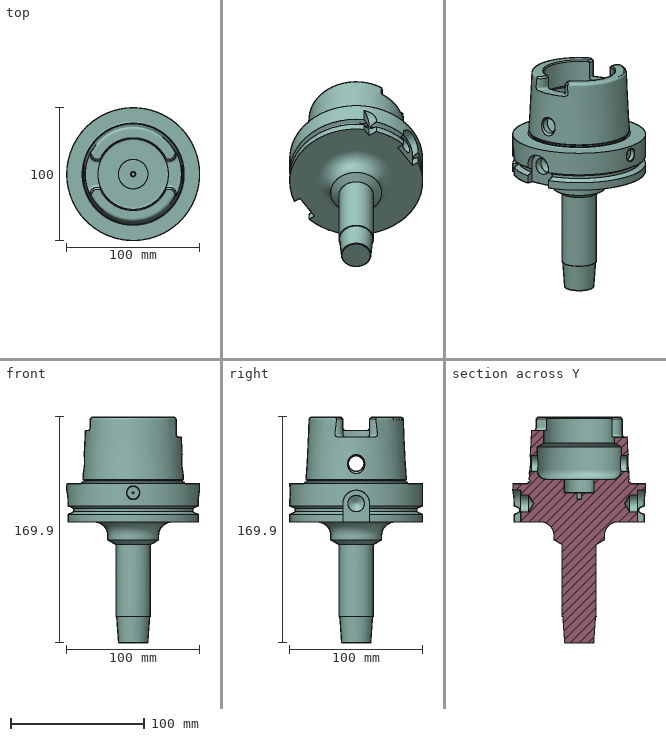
import cadquery as cq
import math


TAPER_TOP_Z = 49.9
TAPER_GAUGE_Z = 10.0
TAPER_GAUGE_RADIUS = 37.5
TAPER_SLOPE = 1 / 20
TAPER_BOTTOM_Z = 3.0
RIM_FILLET = 2.0

RELIEF_RADIUS = 37.1
RELIEF_BOTTOM_Z = 1.2
COLLAR_RADIUS = 38.4
COLLAR_FILLET = 1.0

BORE_RADIUS = 26.5
BORE_BOTTOM_Z = 30.3
BORE_CHAMFER = 0.9
CHAMBER_RADIUS = 31.5
CHAMBER_FLOOR_Z = 3.2
CHAMBER_FLOOR_FILLET = 6.8
CLAMP_FACE_ANGLE = 30.0
TUBE_SEAT_RADIUS = 11.1
TUBE_SEAT_DEPTH = 10.0
COOLANT_RADIUS = 1.5
COOLANT_CHAMFER = 0.5
COOLANT_DEPTH = 5.0

DRIVE_SLOT_WIDTH = 20.0
DRIVE_SLOT_ROUND = 5.0
DRIVE_SLOT_FACE_X = 32.4
DRIVE_SLOT_FLOOR_FILLET = 2.0
DRIVE_SLOT_CHAMFER = 1.4
DRIVE_SLOT_CHAMFER_ANGLE = 45.0
DRIVE_SLOT_DEPTH_LEFT = 10.0
DRIVE_SLOT_DEPTH_RIGHT = 15.0

CLAMP_HOLE_RADIUS = 5.75
CLAMP_HOLE_Z = 15.0
CLAMP_HOLE_MOUTH_RADIUS = 7.1

FLANGE_RADIUS = 50.0
FLANGE_BOTTOM_Z = -29.0

GROOVE_Z = -20.0
GROOVE_FLOOR_RADIUS = 45.9
GROOVE_FLOOR_HALF_WIDTH = 1.05
GROOVE_SHOULDER_RADIUS = 47.2
GROOVE_SHOULDER_HALF_WIDTH = 2.05
GROOVE_MOUTH_HALF_WIDTH = 3.1

KEYWAY_WIDTH = 20.0
KEYWAY_ARC_Z = -15.0
KEYWAY_FLOOR_DISTANCE = 44.0
NOTCH_WALL_Y = 31.5
NOTCH_FLOOR_DISTANCE = 32.1
KEYWAY_HOLE_RADIUS = 6.2
KEYWAY_HOLE_DEPTH = 6.0
DRILL_TIP_ANGLE = 118.0

FRONT_HOLE_Z = -6.9
FRONT_HOLE_RADIUS = 4.7
FRONT_HOLE_MOUTH_RADIUS = 5.2
FRONT_HOLE_DEPTH = 4.0
FRONT_PILOT_RADIUS = 0.7
FRONT_PILOT_DEPTH = 4.0

NECK_RADIUS = 19.2
NECK_FILLET = 10.0
NECK_BOTTOM_Z = -42.4
NECK_CONE_ANGLE = 30.0
SHANK_RADIUS = 13.0
NOSE_TOP_Z = -100.0
NOSE_TOP_RADIUS = 12.5
NOSE_BOTTOM_RADIUS = 11.1
SHANK_BOTTOM_Z = -120.0
NOSE_CHAMFER = 0.5


def taper_radius(z):
    """Outer radius of the hollow taper at height z."""
    return TAPER_GAUGE_RADIUS - TAPER_SLOPE * (z - TAPER_GAUGE_Z)


def arc_inset(radius):
    """Distance from a square corner's sides to the midpoint of its rounding arc."""
    return radius * (1 - math.sqrt(0.5))


def make_body():
    """Revolve the outside of the holder from the nose up to the rim."""
    cone_height = (NECK_RADIUS - SHANK_RADIUS) * math.tan(math.radians(NECK_CONE_ANGLE))
    neck_arc_inset = arc_inset(NECK_FILLET)
    collar_arc_inset = arc_inset(COLLAR_FILLET)
    rim_arc_inset = arc_inset(RIM_FILLET)
    rim_radius = taper_radius(TAPER_TOP_Z - RIM_FILLET)
    profile = (
        cq.Workplane("XZ")
        .moveTo(0, SHANK_BOTTOM_Z)
        .lineTo(NOSE_BOTTOM_RADIUS - NOSE_CHAMFER, SHANK_BOTTOM_Z)
        .lineTo(NOSE_BOTTOM_RADIUS, SHANK_BOTTOM_Z + NOSE_CHAMFER)
        .lineTo(NOSE_TOP_RADIUS, NOSE_TOP_Z)
        .lineTo(SHANK_RADIUS, NOSE_TOP_Z)
        .lineTo(SHANK_RADIUS, NECK_BOTTOM_Z - cone_height)
        .lineTo(NECK_RADIUS, NECK_BOTTOM_Z)
        .lineTo(NECK_RADIUS, FLANGE_BOTTOM_Z - NECK_FILLET)
        .threePointArc(
            (NECK_RADIUS + neck_arc_inset, FLANGE_BOTTOM_Z - neck_arc_inset),
            (NECK_RADIUS + NECK_FILLET, FLANGE_BOTTOM_Z),
        )
        .lineTo(FLANGE_RADIUS, FLANGE_BOTTOM_Z)
        .lineTo(FLANGE_RADIUS, GROOVE_Z - GROOVE_MOUTH_HALF_WIDTH)
        .lineTo(GROOVE_SHOULDER_RADIUS, GROOVE_Z - GROOVE_SHOULDER_HALF_WIDTH)
        .lineTo(GROOVE_FLOOR_RADIUS, GROOVE_Z - GROOVE_FLOOR_HALF_WIDTH)
        .lineTo(GROOVE_FLOOR_RADIUS, GROOVE_Z + GROOVE_FLOOR_HALF_WIDTH)
        .lineTo(GROOVE_SHOULDER_RADIUS, GROOVE_Z + GROOVE_SHOULDER_HALF_WIDTH)
        .lineTo(FLANGE_RADIUS, GROOVE_Z + GROOVE_MOUTH_HALF_WIDTH)
        .lineTo(FLANGE_RADIUS, 0)
        .lineTo(COLLAR_RADIUS + COLLAR_FILLET, 0)
        .threePointArc(
            (COLLAR_RADIUS + collar_arc_inset, collar_arc_inset),
            (COLLAR_RADIUS, COLLAR_FILLET),
        )
        .lineTo(RELIEF_RADIUS, RELIEF_BOTTOM_Z)
        .lineTo(RELIEF_RADIUS, TAPER_BOTTOM_Z - (taper_radius(TAPER_BOTTOM_Z) - RELIEF_RADIUS))
        .lineTo(taper_radius(TAPER_BOTTOM_Z), TAPER_BOTTOM_Z)
        .lineTo(rim_radius, TAPER_TOP_Z - RIM_FILLET)
        .threePointArc(
            (rim_radius - rim_arc_inset, TAPER_TOP_Z - rim_arc_inset),
            (rim_radius - RIM_FILLET, TAPER_TOP_Z),
        )
        .lineTo(0, TAPER_TOP_Z)
        .close()
    )
    return profile.revolve(360, (0, 0, 0), (0, 1, 0))


def cut_bore(body):
    """Revolve the hollow inside: chamfered bore, clamping chamber, tube seat and coolant hole."""
    clamp_face_height = (CHAMBER_RADIUS - BORE_RADIUS) * math.tan(math.radians(CLAMP_FACE_ANGLE))
    floor_arc_inset = arc_inset(CHAMBER_FLOOR_FILLET)
    floor_flat_radius = CHAMBER_RADIUS - CHAMBER_FLOOR_FILLET
    seat_floor_z = CHAMBER_FLOOR_Z - TUBE_SEAT_DEPTH
    coolant_bottom_z = seat_floor_z - COOLANT_DEPTH
    hollow = (
        cq.Workplane("XZ")
        .moveTo(0, TAPER_TOP_Z)
        .lineTo(BORE_RADIUS + BORE_CHAMFER, TAPER_TOP_Z)
        .lineTo(BORE_RADIUS, TAPER_TOP_Z - BORE_CHAMFER)
        .lineTo(BORE_RADIUS, BORE_BOTTOM_Z)
        .lineTo(CHAMBER_RADIUS, BORE_BOTTOM_Z - clamp_face_height)
        .lineTo(CHAMBER_RADIUS, CHAMBER_FLOOR_Z + CHAMBER_FLOOR_FILLET)
        .threePointArc(
            (CHAMBER_RADIUS - floor_arc_inset, CHAMBER_FLOOR_Z + floor_arc_inset),
            (floor_flat_radius, CHAMBER_FLOOR_Z),
        )
        .lineTo(TUBE_SEAT_RADIUS, CHAMBER_FLOOR_Z)
        .lineTo(TUBE_SEAT_RADIUS, seat_floor_z)
        .lineTo(COOLANT_RADIUS + COOLANT_CHAMFER, seat_floor_z)
        .lineTo(COOLANT_RADIUS, seat_floor_z - COOLANT_CHAMFER)
        .lineTo(COOLANT_RADIUS, coolant_bottom_z)
        .lineTo(0, coolant_bottom_z)
        .close()
        .revolve(360, (0, 0, 0), (0, 1, 0))
    )
    return body.cut(hollow)


def drive_slot(depth, side):
    """Cutter for one rim slot with a chamfered mouth; side is -1 for -X and +1 for +X."""
    half_width = DRIVE_SLOT_WIDTH / 2
    round_start_x = side * (DRIVE_SLOT_FACE_X - DRIVE_SLOT_ROUND)
    round_end_x = side * DRIVE_SLOT_FACE_X
    round_end_y = half_width + DRIVE_SLOT_ROUND
    arc_mid_x = round_end_x - side * arc_inset(DRIVE_SLOT_ROUND)
    arc_mid_y = half_width + arc_inset(DRIVE_SLOT_ROUND)
    outside = FLANGE_RADIUS

    outline = (
        cq.Workplane("XY")
        .moveTo(0, half_width)
        .lineTo(round_start_x, half_width)
        .threePointArc((arc_mid_x, arc_mid_y), (round_end_x, round_end_y))
        .lineTo(round_end_x, outside)
        .lineTo(side * outside, outside)
        .lineTo(side * outside, -outside)
        .lineTo(round_end_x, -outside)
        .lineTo(round_end_x, -round_end_y)
        .threePointArc((arc_mid_x, -arc_mid_y), (round_start_x, -half_width))
        .lineTo(0, -half_width)
        .close()
        .val()
    )
    slot = (
        cq.Workplane("XY")
        .add(outline)
        .toPending()
        .extrude(depth)
        .faces("<Z")
        .edges()
        .fillet(DRIVE_SLOT_FLOOR_FILLET)
        .translate((0, 0, TAPER_TOP_Z - depth))
    )
    mouth = (
        cq.Workplane("XY")
        .add(outline)
        .toPending()
        .extrude(DRIVE_SLOT_CHAMFER, taper=-DRIVE_SLOT_CHAMFER_ANGLE)
        .translate((0, 0, TAPER_TOP_Z - DRIVE_SLOT_CHAMFER))
    )
    return slot.union(mouth)


def keyway(center_y, floor_distance):
    """Cutter for a round-topped slot on -X, running out through the flange's lower face."""
    height = KEYWAY_ARC_Z - FLANGE_BOTTOM_Z
    length = FLANGE_RADIUS - floor_distance
    lower = (
        cq.Workplane("XY")
        .box(length, KEYWAY_WIDTH, height, centered=(False, True, False))
        .translate((-FLANGE_RADIUS, center_y, FLANGE_BOTTOM_Z))
    )
    upper = (
        cq.Workplane("YZ")
        .workplane(offset=-FLANGE_RADIUS)
        .center(center_y, KEYWAY_ARC_Z)
        .circle(KEYWAY_WIDTH / 2)
        .extrude(length)
    )
    return lower.union(upper)


def keyway_hole():
    """Cutter for the drilled hole with a conical bottom in the floor of the -X keyway."""
    tip_height = KEYWAY_HOLE_RADIUS / math.tan(math.radians(DRILL_TIP_ANGLE / 2))
    return (
        cq.Workplane("XY")
        .polyline([
            (0, 0),
            (0, KEYWAY_HOLE_RADIUS),
            (KEYWAY_HOLE_DEPTH, KEYWAY_HOLE_RADIUS),
            (KEYWAY_HOLE_DEPTH + tip_height, 0),
        ])
        .close()
        .revolve(360, (0, 0, 0), (1, 0, 0))
        .translate((-KEYWAY_FLOOR_DISTANCE, 0, KEYWAY_ARC_Z))
    )


def cut_keyways(body):
    """Cut a drilled keyway on -X and +X, and the plain notch beside the -X keyway."""
    for cutter in (keyway(0, KEYWAY_FLOOR_DISTANCE), keyway_hole()):
        body = body.cut(cutter).cut(cutter.mirror("YZ"))
    return body.cut(keyway(NOTCH_WALL_Y + KEYWAY_WIDTH / 2, NOTCH_FLOOR_DISTANCE))


def cut_clamp_hole(body):
    """Hole along X through both taper walls, countersunk at 45 degrees from outside."""
    sink_tip_x = taper_radius(CLAMP_HOLE_Z) - CLAMP_HOLE_MOUTH_RADIUS
    sink_end_x = taper_radius(0)
    half_hole = (
        cq.Workplane("XY")
        .polyline([
            (0, 0),
            (0, CLAMP_HOLE_RADIUS),
            (sink_tip_x + CLAMP_HOLE_RADIUS, CLAMP_HOLE_RADIUS),
            (sink_end_x, sink_end_x - sink_tip_x),
            (sink_end_x, 0),
        ])
        .close()
        .revolve(360, (0, 0, 0), (1, 0, 0))
        .translate((0, 0, CLAMP_HOLE_Z))
    )
    return body.cut(half_hole).cut(half_hole.mirror("YZ"))


def cut_front_hole(body):
    """Chamfered flat-bottomed hole on -Y with a fine pilot hole in its floor."""
    chamfer = FRONT_HOLE_MOUTH_RADIUS - FRONT_HOLE_RADIUS
    hole = (
        cq.Workplane("XY")
        .polyline([
            (0, 0),
            (0, FRONT_HOLE_MOUTH_RADIUS),
            (chamfer, FRONT_HOLE_RADIUS),
            (FRONT_HOLE_DEPTH, FRONT_HOLE_RADIUS),
            (FRONT_HOLE_DEPTH, FRONT_PILOT_RADIUS),
            (FRONT_HOLE_DEPTH + FRONT_PILOT_DEPTH, FRONT_PILOT_RADIUS),
            (FRONT_HOLE_DEPTH + FRONT_PILOT_DEPTH, 0),
        ])
        .close()
        .revolve(360, (0, 0, 0), (1, 0, 0))
        .rotate((0, 0, 0), (0, 0, 1), 90)
    )
    return body.cut(hole.translate((0, -FLANGE_RADIUS, FRONT_HOLE_Z)))


result = make_body()
result = result.cut(drive_slot(DRIVE_SLOT_DEPTH_LEFT, -1))
result = result.cut(drive_slot(DRIVE_SLOT_DEPTH_RIGHT, 1))
result = cut_bore(result)
result = cut_keyways(result)
result = cut_clamp_hole(result)
result = cut_front_hole(result)